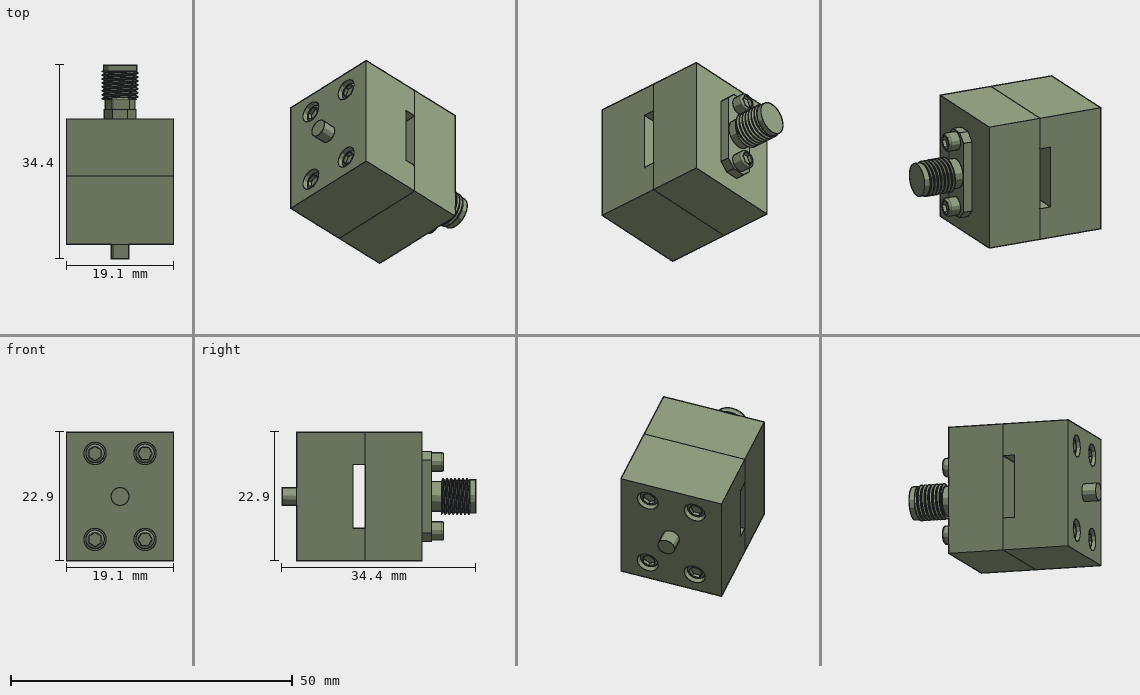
import cadquery as cq
import math


block_width = 19.05
block_height = 22.85
front_block_depth = 12.15
rear_block_depth = 10.15
front_face_y = -front_block_depth
rear_face_y = rear_block_depth

slot_depth = 2.15
slot_height = 11.3

head_diameter = 3.3
head_length = 2.15
head_round = 0.38
socket_corners = 2.5
socket_depth = 0.7

front_screw_x = 4.45
front_screw_z = 7.65
counterbore_diameter = 3.95
head_sink = 0.5
counterbore_depth = head_sink + head_length

rear_screw_z = 6.13

pin_diameter = 3.15
pin_length = 2.58

flange_width = 5.68
flange_height = 16.05
flange_thickness = 1.7
flange_chamfer = 1.5
neck_diameter = 5.35
neck_length = 1.72
thread_length = 5.05
collar_diameter = 5.95
collar_length = 1.05

thread_major_diameter = 6.37
thread_root_diameter = 5.58
thread_turns = 7.2
thread_pitch = thread_length / thread_turns
thread_crest = thread_pitch / 8
thread_flank_angle = 30
thread_start = -0.2
thread_overlap = 0.07

flange_rear_y = rear_face_y + flange_thickness
front_screw_places = [
    (x, z)
    for x in (-front_screw_x, front_screw_x)
    for z in (-front_screw_z, front_screw_z)
]


def plane_facing_rear(y):
    """Work plane at position y along the axis: local x is X, local y is -Z, normal is +Y."""
    return cq.Plane(origin=(0, y, 0), xDir=(1, 0, 0), normal=(0, 1, 0))


def cylinder(diameter, length, y):
    return cq.Workplane(plane_facing_rear(y)).circle(diameter / 2).extrude(length)


def plate(width, height, depth, y):
    return cq.Workplane(plane_facing_rear(y)).rect(width, height).extrude(depth)


def make_rear_block():
    return plate(block_width, block_height, rear_block_depth, 0)


def make_front_block():
    block = plate(block_width, block_height, front_block_depth, front_face_y)
    slot = plate(block_width, slot_height, slot_depth, -slot_depth)
    counterbores = (
        cq.Workplane(plane_facing_rear(front_face_y))
        .pushPoints(front_screw_places)
        .circle(counterbore_diameter / 2)
        .extrude(counterbore_depth)
    )
    return block.cut(slot).cut(counterbores)


def make_screw():
    """Cap screw head seated on Z = 0 with its hexagon socket at the top."""
    head = cq.Workplane("XY").circle(head_diameter / 2).extrude(head_length)
    head = head.faces(">Z").edges().fillet(head_round)
    socket = cq.Workplane("XY", origin=(0, 0, head_length - socket_depth))
    socket = socket.polygon(6, socket_corners).extrude(socket_depth)
    return head.cut(socket)


def make_front_screw(x, z):
    """Front screw; the sockets on the -X side stand on a corner, those on the +X side on a flat."""
    socket_turn = 90 if x < 0 else 0
    screw = make_screw().rotate((0, 0, 0), (0, 0, 1), socket_turn)
    screw = screw.rotate((0, 0, 0), (1, 0, 0), 90)
    return screw.translate((x, front_face_y + counterbore_depth, z))


def make_rear_screw(z):
    screw = make_screw().rotate((0, 0, 0), (1, 0, 0), -90)
    return screw.translate((0, flange_rear_y, z))


def make_pin():
    return cylinder(pin_diameter, pin_length, front_face_y - pin_length)


def make_thread():
    """Threaded core standing on Z = 0, cut square at both ends."""
    root_radius = thread_root_diameter / 2
    crest_radius = thread_major_diameter / 2
    inner_radius = root_radius - thread_overlap
    crest_half = thread_crest / 2
    base_half = crest_half + (crest_radius - inner_radius) * math.tan(math.radians(thread_flank_angle))
    ridge_start = thread_start - thread_pitch
    ridge_height = thread_length + 3 * thread_pitch
    helix = cq.Wire.makeHelix(thread_pitch, ridge_height, root_radius).translate(cq.Vector(0, 0, ridge_start))
    ridge = (
        cq.Workplane("XZ")
        .polyline(
            [
                (inner_radius, ridge_start - base_half),
                (crest_radius, ridge_start - crest_half),
                (crest_radius, ridge_start + crest_half),
                (inner_radius, ridge_start + base_half),
            ]
        )
        .close()
        .sweep(cq.Workplane(obj=helix), isFrenet=True)
    )
    envelope_width = 2 * thread_major_diameter
    envelope = cq.Workplane("XY").rect(envelope_width, envelope_width).extrude(thread_length)
    core_start = 2 * ridge_start
    core = cq.Workplane("XY", origin=(0, 0, core_start)).circle(root_radius).extrude(2 * ridge_height)
    return core.union(ridge).intersect(envelope)


def make_connector():
    flange = plate(flange_width, flange_height, flange_thickness, rear_face_y)
    flange = flange.edges("|Y").chamfer(flange_chamfer)
    thread_y = flange_rear_y + neck_length
    neck = cylinder(neck_diameter, neck_length, flange_rear_y)
    thread = make_thread().rotate((0, 0, 0), (1, 0, 0), -90).translate((0, thread_y, 0))
    collar = cylinder(collar_diameter, collar_length, thread_y + thread_length)
    return flange.union(neck).union(thread).union(collar)


rear_block = make_rear_block()
front_block = make_front_block()
pin = make_pin()
connector = make_connector()
front_screws = [make_front_screw(x, z) for x, z in front_screw_places]
rear_screws = [make_rear_screw(z) for z in (-rear_screw_z, rear_screw_z)]

result = cq.Compound.makeCompound(
    [rear_block.val(), front_block.val(), pin.val(), connector.val()]
    + [screw.val() for screw in front_screws + rear_screws]
)